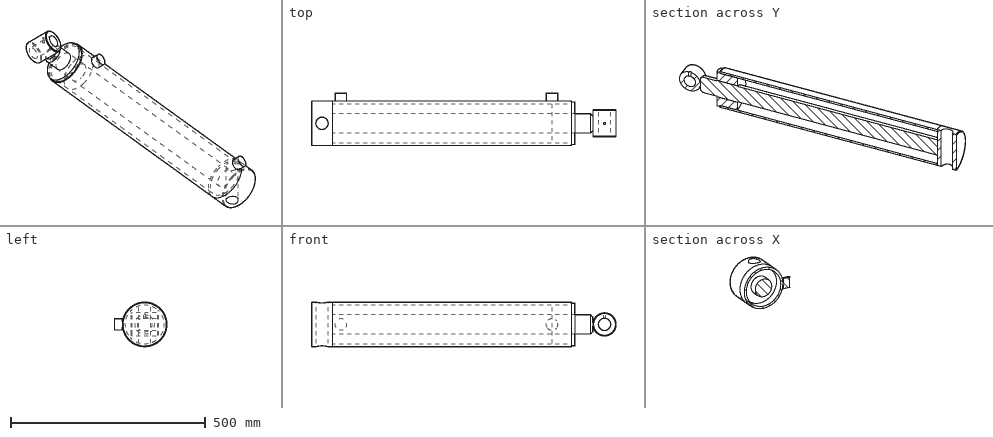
import cadquery as cq

total_length = 783.0
total_width = 135.0

barrel_diameter = 115.0
barrel_bore = 100.0
base_length = 55.0
base_chamfer = 2.0
barrel_end = 668.0
gland_diameter = 110.0
gland_flange = 9.0
gland_spigot = 50.0
gland_end = barrel_end + gland_flange

pin_diameter = 31.0
pin_hole_x = base_length / 2

port_diameter = 30.0
port_reach = total_width - barrel_diameter / 2
port_positions = [76.0, 618.0]

eye_diameter = 60.0
eye_length = 70.0
eye_chamfer = 2.0
eye_x = total_length - eye_diameter / 2
grease_hole_diameter = 5.0

rod_diameter = 50.0
rod_chamfer = 6.0
rod_end = total_length - eye_diameter


def cylinder_x(diameter, start, end):
    """Cylinder on the X axis between two X positions."""
    return cq.Workplane("YZ", origin=(start, 0, 0)).circle(diameter / 2).extrude(end - start)


def cylinder_y(diameter, x, start, end):
    """Cylinder parallel to Y at the given X, between two Y positions."""
    disc = cq.Workplane("XZ", origin=(x, start, 0)).circle(diameter / 2)
    return disc.extrude(start - end)


def cylinder_z(diameter, x, start, end):
    """Cylinder parallel to Z at the given X, between two Z positions."""
    return cq.Workplane("XY", origin=(x, 0, start)).circle(diameter / 2).extrude(end - start)


def make_base():
    """Solid chamfered end block with the cross pin hole through it."""
    block = cylinder_x(barrel_diameter, 0, base_length)
    block = block.faces("<X").chamfer(base_chamfer)
    return block.cut(cylinder_z(pin_diameter, pin_hole_x, -barrel_diameter, barrel_diameter))


def make_barrel():
    """Plain tube from the base to the gland flange."""
    tube = cylinder_x(barrel_diameter, base_length, barrel_end)
    return tube.cut(cylinder_x(barrel_bore, base_length, barrel_end))


def make_gland():
    """Flange against the barrel end, with a spigot in the bore and a rod hole."""
    flange = cylinder_x(gland_diameter, barrel_end, gland_end)
    spigot = cylinder_x(barrel_bore, barrel_end - gland_spigot, barrel_end)
    return flange.union(spigot).cut(cylinder_x(rod_diameter, 0, total_length))


def make_port(x):
    """Round stub with a flat inner end that touches the side of the barrel."""
    return cylinder_y(port_diameter, x, barrel_diameter / 2, port_reach)


def make_rod():
    """Rod from the base through the gland, chamfered where it meets the eye."""
    rod = cylinder_x(rod_diameter, base_length, rod_end)
    return rod.faces(">X").chamfer(rod_chamfer)


def make_eye():
    """Cross tube with chamfered ends and a grease hole in its top."""
    eye = cylinder_y(eye_diameter, eye_x, -eye_length / 2, eye_length / 2)
    eye = eye.faces("<Y or >Y").chamfer(eye_chamfer)
    eye = eye.cut(cylinder_y(pin_diameter, eye_x, -eye_length, eye_length))
    return eye.cut(cylinder_z(grease_hole_diameter, eye_x, 0, eye_diameter))


base = make_base()
barrel = make_barrel()
gland = make_gland()
rod = make_rod()
eye = make_eye()
ports = [make_port(x) for x in port_positions]

bodies = [base, barrel, gland, rod, eye] + ports

result = cq.Compound.makeCompound([body.val() for body in bodies])